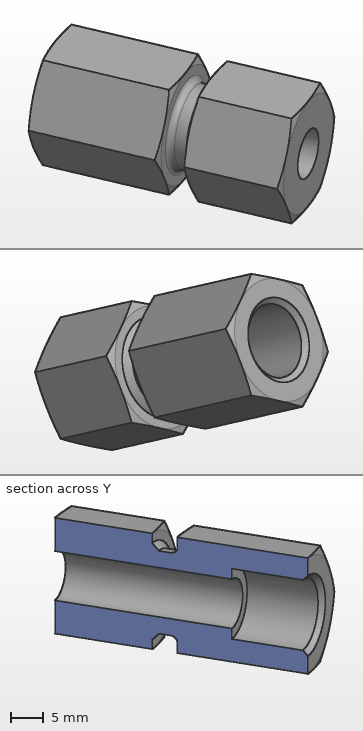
import cadquery as cq
import math

length = 42.0
across_flats = 19.0
body_end = 21.7
nut_start = 25.85
hex_bevel_angle = 15.0

neck_diameter = 13.6
shoulder_diameter = 15.8
taper_length = (shoulder_diameter - neck_diameter) / 2
neck_fillet = 1.05

through_diameter = 8.0
socket_diameter = 11.42
socket_mouth_diameter = 13.1
socket_depth = 12.6

across_corners = across_flats / math.cos(math.radians(30))
bevel_length = (across_corners - across_flats) / 2 * math.tan(math.radians(hex_bevel_angle))
mouth_depth = (socket_mouth_diameter - socket_diameter) / 2


def revolve_profile(points):
    """Revolve (x, radius) points about the X axis."""
    return cq.Workplane("XY").polyline(points).close().revolve(360, (0, 0, 0), (1, 0, 0))


def bevelled_hexagon(start, end):
    """Hexagon with flats at top and bottom and turned corners at both ends."""
    prism = cq.Workplane("YZ", origin=(start, 0, 0)).polygon(6, across_corners).extrude(end - start)
    envelope = revolve_profile([
        (start, 0),
        (start, across_flats / 2),
        (start + bevel_length, across_corners / 2),
        (end - bevel_length, across_corners / 2),
        (end, across_flats / 2),
        (end, 0),
    ])
    return prism.intersect(envelope)


neck_radius = neck_diameter / 2
arc_offset = neck_fillet * (1 - math.sqrt(0.5))
neck = (
    cq.Workplane("XY")
    .moveTo(body_end, 0)
    .lineTo(body_end, neck_radius + neck_fillet)
    .threePointArc(
        (body_end + arc_offset, neck_radius + arc_offset),
        (body_end + neck_fillet, neck_radius),
    )
    .lineTo(nut_start - taper_length, neck_radius)
    .lineTo(nut_start, shoulder_diameter / 2)
    .lineTo(nut_start, 0)
    .close()
    .revolve(360, (0, 0, 0), (1, 0, 0))
)

bore = revolve_profile([
    (0, 0),
    (0, socket_mouth_diameter / 2),
    (mouth_depth, socket_diameter / 2),
    (socket_depth, socket_diameter / 2),
    (socket_depth, through_diameter / 2),
    (length, through_diameter / 2),
    (length, 0),
])

body = bevelled_hexagon(0, body_end)
nut = bevelled_hexagon(nut_start, length)
result = body.union(neck).union(nut).cut(bore)